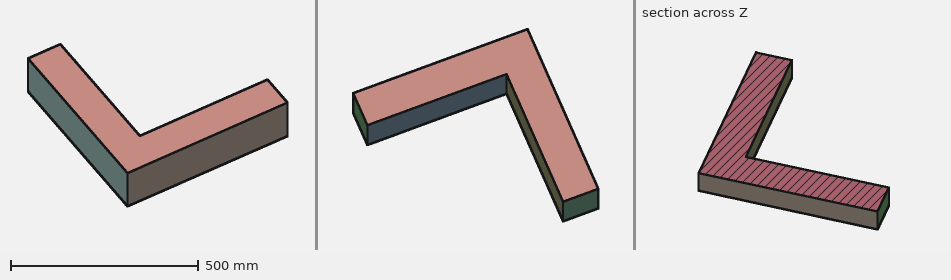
import cadquery as cq

LENGTH_X = 504.82
LENGTH_Y = 501.77
DEEP_HEIGHT = 128.29

UNDERSIDE_FALL = 1.62
SHALLOW_HEIGHT = DEEP_HEIGHT - UNDERSIDE_FALL

ARM_WIDTH = 101.6


def sloped_slab():
    """Full rectangular slab with a level top at Z = 0 and a sloping underside."""
    side_profile = [
        (0, 0),
        (LENGTH_Y, 0),
        (LENGTH_Y, -DEEP_HEIGHT),
        (0, -SHALLOW_HEIGHT),
    ]
    return cq.Workplane("YZ").polyline(side_profile).close().extrude(LENGTH_X)


def inner_corner_block():
    """Block filling the open side of the L, between the two arms."""
    return (
        cq.Workplane("XY")
        .box(LENGTH_X - ARM_WIDTH, LENGTH_Y - ARM_WIDTH, DEEP_HEIGHT, centered=False)
        .translate((0, ARM_WIDTH, -DEEP_HEIGHT))
    )


result = sloped_slab().cut(inner_corner_block())